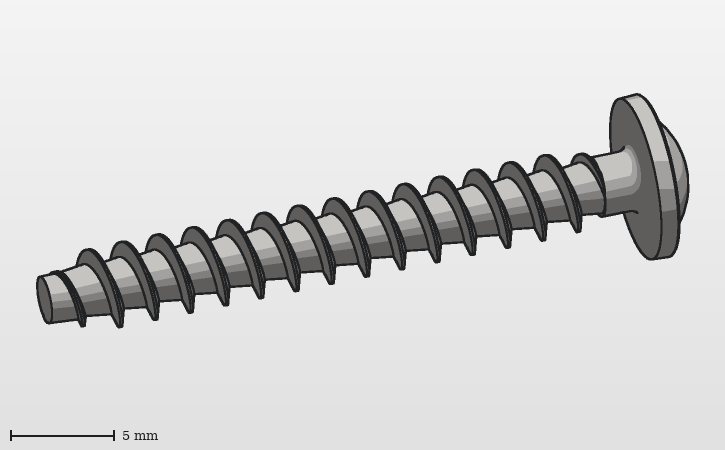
import cadquery as cq
import math


total_length = 32.43
head_height = 2.43
tip_y = head_height - total_length

flange_radius = 4.005
flange_thickness = 0.95
bearing_radius = 3.95
rim_chamfer = 0.1
dome_base_radius = 3.18

recess_radius = 1.7
recess_floor_radius = 0.65
recess_depth = 1.62
wing_top_width = 0.68
wing_floor_width = 0.3

wing_corner_radius = wing_top_width / math.sqrt(2)
dome_centre_y = (head_height + flange_thickness) / 2 - (dome_base_radius**2 - wing_corner_radius**2) / (
    2 * (head_height - flange_thickness)
)
dome_radius = math.hypot(dome_base_radius, flange_thickness - dome_centre_y)
dome_apex_y = dome_centre_y + dome_radius

shank_radius = 1.45
shank_end_y = -2.0
neck_fillet = 0.6
core_radius = 1.07

full_turns = 13
full_turns_length = 23.25
pitch = full_turns_length / full_turns
thread_start_y = -1.78
crest_radius = 2.0
crest_half_width = 0.05
root_half_width = 0.3
ridge_base_radius = 1.0

swell_radius = 1.35
waist_radius = 1.15
swell_base_radius = 0.9
swell_end_gap = 0.03

start_height_share = 0.3
fade_in_turns = 1.0
end_height_share = 0.05
fade_out_turns = 1.2
fade_out_end_y = -29.5
fade_out_end = (thread_start_y - fade_out_end_y) / pitch
fade_out_start = fade_out_end - fade_out_turns
fade_breaks = [fade_out_start, fade_out_end - fade_out_turns * end_height_share]

last_turn = math.ceil((thread_start_y - tip_y) / pitch)
points_per_turn = 12


def make_body():
    """Head, neck fillet, shank and plain core as one revolved outline."""
    rim_y = flange_thickness - rim_chamfer
    dome_mid_radius = dome_base_radius / 2
    dome_mid_y = dome_centre_y + math.sqrt(dome_radius**2 - dome_mid_radius**2)
    diagonal = neck_fillet * (1 - math.sqrt(0.5))
    return (
        cq.Workplane("XY")
        .moveTo(0, tip_y)
        .lineTo(core_radius, tip_y)
        .lineTo(core_radius, shank_end_y)
        .lineTo(shank_radius, shank_end_y)
        .lineTo(shank_radius, -neck_fillet)
        .threePointArc((shank_radius + diagonal, -diagonal), (shank_radius + neck_fillet, 0))
        .lineTo(bearing_radius, 0)
        .lineTo(flange_radius, rim_y)
        .lineTo(flange_radius - rim_chamfer, flange_thickness)
        .lineTo(dome_base_radius, flange_thickness)
        .threePointArc((dome_mid_radius, dome_mid_y), (0, dome_apex_y))
        .close()
        .revolve(360, (0, 0, 0), (0, 1, 0))
    )


def make_recess():
    """Cross of two tapering wings, bounded by a cone that narrows towards the floor."""
    floor_y = dome_apex_y - recess_depth
    wing = (
        cq.Workplane("XY")
        .moveTo(-wing_floor_width / 2, floor_y)
        .lineTo(wing_floor_width / 2, floor_y)
        .lineTo(wing_top_width / 2, dome_apex_y)
        .lineTo(-wing_top_width / 2, dome_apex_y)
        .close()
        .extrude(recess_radius, both=True)
    )
    cross = wing.union(wing.rotate((0, 0, 0), (0, 1, 0), 90))
    cone = cq.Solid.makeCone(
        recess_floor_radius, recess_radius, recess_depth, cq.Vector(0, floor_y, 0), cq.Vector(0, 1, 0)
    )
    return cross.intersect(cq.Workplane(cone))


def fade_out_share(turn):
    """Share of the full thread relief left after a number of turns from the head end."""
    return max(end_height_share, min(1.0, (fade_out_end - turn) / fade_out_turns))


def swell_radius_at(turn):
    """Core radius just behind the ridge."""
    return waist_radius + fade_out_share(turn) * (swell_radius - waist_radius)


def ridge_section(turn):
    """Corners of the thread ridge as (radius, y)."""
    fade_in_share = start_height_share + (1 - start_height_share) * turn / fade_in_turns
    share = min(fade_in_share, fade_out_share(turn))
    foot = swell_radius_at(turn)
    top = foot + share * (crest_radius - swell_radius)
    flank_run = (root_half_width - crest_half_width) / (crest_radius - swell_radius)
    base_half_width = crest_half_width + flank_run * (top - ridge_base_radius)
    y = thread_start_y - pitch * turn
    return [
        (ridge_base_radius, y + base_half_width),
        (top, y + crest_half_width),
        (top, y - crest_half_width),
        (ridge_base_radius, y - base_half_width),
    ]


def swell_section(turn):
    """Corners of the core swell, tapering from one ridge to the next, as (radius, y)."""
    ridge_y = thread_start_y - pitch * turn
    head_side = ridge_y - swell_end_gap
    tip_side = ridge_y - pitch + swell_end_gap
    return [
        (swell_base_radius, head_side),
        (swell_radius_at(turn), head_side),
        (waist_radius, tip_side),
        (swell_base_radius, tip_side),
    ]


def section_points(section, turn):
    """Section corners in space; turning runs +X to +Z while advancing to the tip."""
    angle = 2 * math.pi * turn
    return [cq.Vector(r * math.cos(angle), y, r * math.sin(angle)) for r, y in section(turn)]


def make_helical_solid(section, first_turn, breaks):
    """Solid between the helical paths of the section corners, cut off at shank and tip.

    Its faces span one turn at most and end wherever the section starts or stops fading.
    """
    turns_at = sorted(set(breaks) | set(range(first_turn, last_turn + 1)))
    faces = []
    for first, last in zip(turns_at, turns_at[1:]):
        count = math.ceil((last - first) * points_per_turn)
        turns = [first + (last - first) * i / count for i in range(count + 1)]
        paths = zip(*[section_points(section, turn) for turn in turns])
        edges = [cq.Edge.makeSpline(list(path), parameters=turns) for path in paths]
        for one, other in zip(edges, edges[1:] + edges[:1]):
            faces.append(cq.Face.makeRuledSurface(one, other))
    for turn in (first_turn, last_turn):
        end = cq.Wire.makePolygon(section_points(section, turn), close=True)
        faces.append(cq.Face.makeFromWires(end))
    helical = cq.Solid.makeSolid(cq.Shell.makeShell(faces))
    axis = cq.Vector(0, 1, 0)
    length = shank_end_y - tip_y
    limits = cq.Solid.makeCylinder(flange_radius, length, cq.Vector(0, tip_y, 0), axis)
    return cq.Workplane(helical.fix()).intersect(cq.Workplane(limits))


ridge = make_helical_solid(ridge_section, 0, [fade_in_turns] + fade_breaks)
core_swell = make_helical_solid(swell_section, -1, fade_breaks)
result = make_body().cut(make_recess()).union(core_swell).union(ridge)